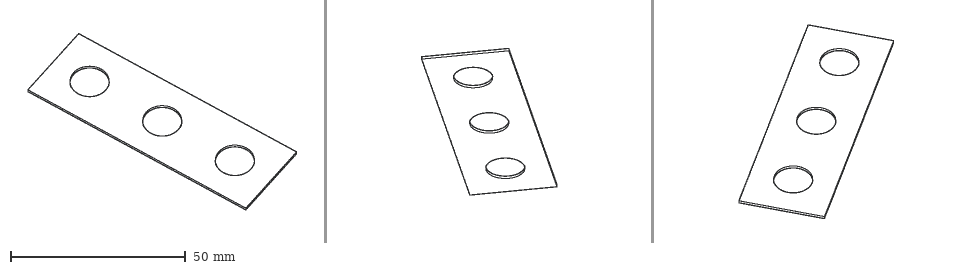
import cadquery as cq

length = 76.2
hole_count = 3
cell_size = length / hole_count
thickness = 0.85
hole_diameter = 11.2

strip = cq.Workplane("XY").box(length, cell_size, thickness)

result = (
    strip.faces(">Z")
    .workplane()
    .rarray(cell_size, cell_size, hole_count, 1)
    .hole(hole_diameter)
)